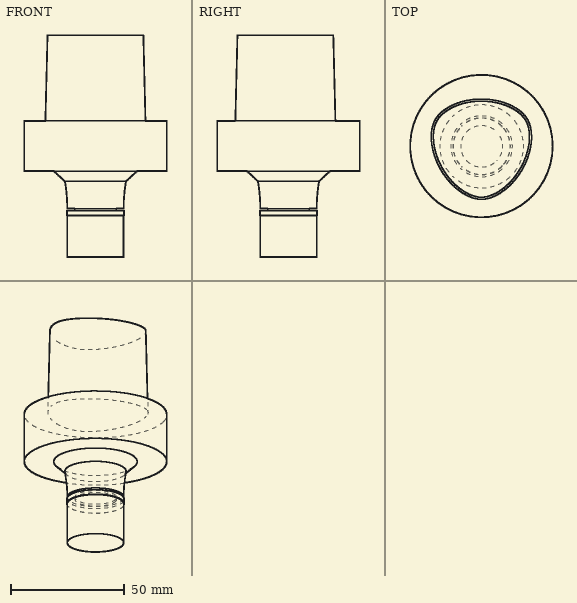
import cadquery as cq
import math

TOTAL_HEIGHT = 98.0
COLLAR_TOP = 60.1
COLLAR_BOTTOM = 37.9
CONE_BOTTOM = 33.4
NECK_BOTTOM = 21.4
RING_TOP = 20.5
RING_BOTTOM = 18.2

COLLAR_DIAMETER = 63.0
CONE_TOP_DIAMETER = 36.8
NECK_TOP_DIAMETER = 27.0
RING_DIAMETER = 25.3
SHANK_DIAMETER = 25.0
GROOVE_DIAMETER = 18.4

TAPER_BASE_WIDTH = 44.3
TAPER_TOP_WIDTH = 42.4
LOBE_OFFSET = 1.4
SEAM_ANGLE = -math.pi / 2
PROFILE_POINTS = 48


def lobe_point(angle, width):
    """Point on the curve whose support function is width/2 + LOBE_OFFSET * sin(3 * angle)."""
    reach = width / 2 + LOBE_OFFSET * math.sin(3 * angle)
    slope = 3 * LOBE_OFFSET * math.cos(3 * angle)
    x = reach * math.cos(angle) - slope * math.sin(angle)
    y = reach * math.sin(angle) + slope * math.cos(angle)
    return x, y


def lobe_profile(width):
    """Points around the three-lobed outline, starting at the -Y lobe."""
    step = 2 * math.pi / PROFILE_POINTS
    return [lobe_point(SEAM_ANGLE + i * step, width) for i in range(PROFILE_POINTS)]


def make_taper():
    """Three-lobed plug standing on the collar, narrowing towards its top."""
    return (
        cq.Workplane("XY")
        .workplane(offset=COLLAR_TOP)
        .spline(lobe_profile(TAPER_BASE_WIDTH), periodic=True)
        .close()
        .workplane(offset=TOTAL_HEIGHT - COLLAR_TOP)
        .spline(lobe_profile(TAPER_TOP_WIDTH), periodic=True)
        .close()
        .loft(ruled=True, combine=True)
    )


def make_turned_body():
    """Shank, ring, groove, flared neck, cone and collar as one revolved half section."""
    shank_radius = SHANK_DIAMETER / 2
    ring_radius = RING_DIAMETER / 2
    ring_overhang = ring_radius - shank_radius
    groove_radius = GROOVE_DIAMETER / 2
    collar_radius = COLLAR_DIAMETER / 2
    neck_top_radius = NECK_TOP_DIAMETER / 2

    flare = neck_top_radius - shank_radius
    neck_height = CONE_BOTTOM - NECK_BOTTOM
    arc_radius = (neck_height**2 + flare**2) / (2 * flare)
    half_sweep = math.asin(neck_height / arc_radius) / 2
    neck_middle = (
        shank_radius + arc_radius * (1 - math.cos(half_sweep)),
        NECK_BOTTOM + arc_radius * math.sin(half_sweep),
    )

    return (
        cq.Workplane("XZ")
        .lineTo(shank_radius, 0)
        .lineTo(shank_radius, RING_BOTTOM)
        .lineTo(ring_radius, RING_BOTTOM + ring_overhang)
        .lineTo(ring_radius, RING_TOP)
        .lineTo(groove_radius, RING_TOP)
        .lineTo(groove_radius, NECK_BOTTOM)
        .lineTo(shank_radius, NECK_BOTTOM)
        .threePointArc(neck_middle, (neck_top_radius, CONE_BOTTOM))
        .lineTo(CONE_TOP_DIAMETER / 2, COLLAR_BOTTOM)
        .lineTo(collar_radius, COLLAR_BOTTOM)
        .lineTo(collar_radius, COLLAR_TOP)
        .lineTo(0, COLLAR_TOP)
        .close()
        .revolve(360, (0, 0, 0), (0, 1, 0))
    )


result = make_turned_body().union(make_taper())